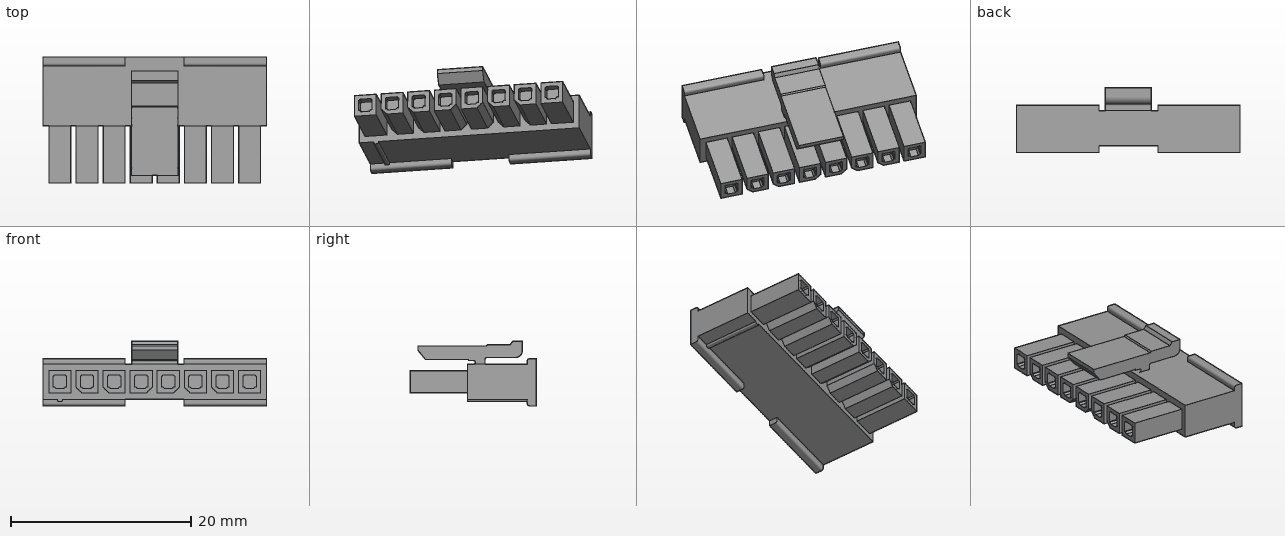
import cadquery as cq

length = 24.85
depth = 14.0
height = 7.2
back_y = depth / 2
front_y = -depth / 2

body_depth = 7.65
body_bottom = 0.75
body_top = 4.65
body_front_y = back_y - body_depth

flange_height = 5.27
flange_depth = 1.02
flange_round = 0.3
flange_gap_left = -3.28
flange_gap_right = 3.23

tower_count = 8
tower_pitch = 3.0
tower_size = 2.45
tower_center_z = 2.68
tower_corner_cut = 0.65
cut_corners = (None, "left", "left", "right", "right", "left", "left", None)

cavity_size = 1.5
cavity_top_cut = 0.15
cavity_bottom_cut = 0.2
cavity_ledge = 0.12
cavity_depth = 1.0

rib_width = 0.55
rib_height = 0.25
rib_round = 0.15

latch_width = 5.12
latch_back = 1.55
latch_front = 13.15
hook_top_end = 2.6
hook_ramp_end = 2.9
pad_top = 6.8
pad_end = 5.42
arm_top = 6.65
arm_step_end = 5.57
nose_edge_z = 6.2
nose_bottom_end = 12.3
arm_bottom = 5.15
relief_bottom = 5.05
relief_end = 7.53
rear_bottom = 5.37
heel_round = 0.77
neck_back = 5.67
neck_front = 6.78
neck_round = 0.2


def span_box(x_min, x_max, y_min, y_max, z_min, z_max):
    """Box between two opposite corners."""
    box = cq.Workplane("XY").box(x_max - x_min, y_max - y_min, z_max - z_min, centered=False)
    return box.translate((x_min, y_min, z_min))


def make_flange(x_min, x_max):
    """Back flange with its two long front edges rounded."""
    flange = span_box(x_min, x_max, back_y - flange_depth, back_y, 0, flange_height)
    return flange.faces("<Y").edges("|X").fillet(flange_round)


def forward_prism(points, start_y, run):
    """Extrude an XZ outline from start_y towards -Y."""
    return cq.Workplane("XZ", origin=(0, start_y, 0)).polyline(points).close().extrude(run)


def make_tower(x, cut_side):
    """Square tower whose lower left or lower right corner may be cut off."""
    half = tower_size / 2
    tower = span_box(
        x - half, x + half, front_y, body_front_y, tower_center_z - half, tower_center_z + half
    )
    if cut_side is None:
        return tower
    side_selector = "<X" if cut_side == "left" else ">X"
    return tower.faces(side_selector).edges("<Z").chamfer(tower_corner_cut)


def make_cavity(x):
    """Blind contact cavity with cut upper corners and a ledge above each lower corner cut."""
    half = cavity_size / 2
    left = x - half
    right = x + half
    bottom = tower_center_z - half
    top = tower_center_z + half
    outline = [
        (left + cavity_ledge + cavity_bottom_cut, bottom),
        (right - cavity_ledge - cavity_bottom_cut, bottom),
        (right - cavity_ledge, bottom + cavity_bottom_cut),
        (right, bottom + cavity_bottom_cut),
        (right, top - cavity_top_cut),
        (right - cavity_top_cut, top),
        (left + cavity_top_cut, top),
        (left, top - cavity_top_cut),
        (left, bottom + cavity_bottom_cut),
        (left + cavity_ledge, bottom + cavity_bottom_cut),
    ]
    return forward_prism(outline, front_y + cavity_depth, cavity_depth)


def make_rib(x):
    """Polarising rib along the underside, with rounded lower edges."""
    half = rib_width / 2
    rib = span_box(
        x - half, x + half, body_front_y, back_y - flange_depth, body_bottom - rib_height, body_bottom
    )
    return rib.faces("<Z").edges("|Y").fillet(rib_round)


def make_latch():
    """Latch arm with a hook at the back, a bevelled nose and a neck joining it to the body."""
    notch_round = (relief_bottom - body_top) / 2
    notch_center_z = body_top + notch_round
    arm_outline = [
        (latch_back, rear_bottom),
        (latch_back, height),
        (hook_top_end, height),
        (hook_ramp_end, pad_top),
        (pad_end, pad_top),
        (arm_step_end, arm_top),
        (latch_front, arm_top),
        (latch_front, nose_edge_z),
        (nose_bottom_end, arm_bottom),
        (relief_end, arm_bottom),
        (relief_end, relief_bottom),
        (neck_front + notch_round, relief_bottom),
    ]

    def side_point(forward, z):
        return (back_y - forward, z)

    latch = (
        cq.Workplane("YZ")
        .polyline([side_point(forward, z) for forward, z in arm_outline])
        .threePointArc(
            side_point(neck_front, notch_center_z),
            side_point(neck_front + notch_round, body_top),
        )
        .lineTo(*side_point(neck_back, body_top))
        .lineTo(*side_point(neck_back, rear_bottom))
        .close()
        .extrude(latch_width / 2, both=True)
    )

    def cross_edge(forward, z):
        return cq.selectors.NearestToPointSelector((0, *side_point(forward, z)))

    latch = latch.edges(cross_edge(latch_back, rear_bottom)).fillet(heel_round)
    return latch.edges(cross_edge(neck_back, rear_bottom)).fillet(neck_round)


first_tower_x = -tower_pitch * (tower_count - 1) / 2
tower_xs = [first_tower_x + index * tower_pitch for index in range(tower_count)]

result = span_box(-length / 2, length / 2, body_front_y, back_y, body_bottom, body_top)
result = result.union(make_flange(-length / 2, flange_gap_left))
result = result.union(make_flange(flange_gap_right, length / 2))
result = result.union(make_rib(first_tower_x))
result = result.union(make_latch())

for tower_x, cut_corner in zip(tower_xs, cut_corners):
    result = result.union(make_tower(tower_x, cut_corner))
    result = result.cut(make_cavity(tower_x))